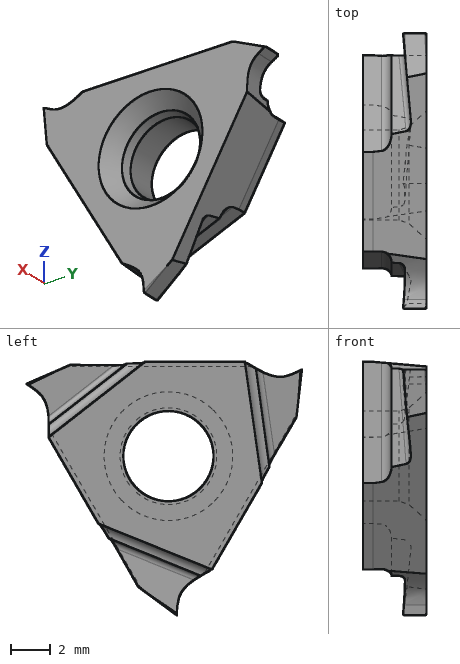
import cadquery as cq
import math

TOOTH_COUNT = 3
THICKNESS = 3.18
INSCRIBED_RADIUS = 4.724
RIM_WIDTH = 0.5
SIDE_CLEARANCE = 5.0

HOLE_RADIUS = 2.25
HOLE_STRAIGHT_DEPTH = 1.8
INNER_CONE_DEPTH = 2.3
INNER_CONE_RADIUS = 2.42
HOLE_MOUTH_RADIUS = 3.22

TIP_RADIUS = 7.967
TIP_ANGLE = -93.0
FLANK_ANGLE = 36.5
LAND_ANGLE = 94.5
LAND_LENGTH = 0.51
CHIP_RADIUS = 1.55
CHIP_RUNOUT = 1.5
CHIP_EXIT_ANGLE = 150.0

RELIEF_ANGLE = 22.0
FIRST_STEP_OFFSET = 4.44
FIRST_STEP_DEPTH = 1.43
FIRST_STEP_FILLET = 0.5
SECOND_STEP_FILLET = 0.29
TOOTH_SIDE_DEPTH = 2.0
SIDE_TILT_ALONG = 4.2
SIDE_TILT_ACROSS = 3.0
TIP_CORNER_RADIUS = 0.1
CORNER_FADE_LENGTH = 1.8
FADED_RADIUS = 0.004

MARGIN = 1.0
REACH = 12.0


def direction(angle):
    return math.cos(math.radians(angle)), math.sin(math.radians(angle))


def moved(point, angle, distance):
    y, z = direction(angle)
    return point[0] + distance * y, point[1] + distance * z


def dot(a, b):
    return a[0] * b[0] + a[1] * b[1]


TIP = moved((0, 0), TIP_ANGLE, TIP_RADIUS)
SLOPE_ALONG = math.tan(math.radians(SIDE_TILT_ALONG))
SLOPE_ACROSS = math.tan(math.radians(SIDE_TILT_ACROSS))


def triangle(x, inscribed_radius):
    """Triangle of the three plate sides, pointing down, on the plane at X = x."""
    corners = [moved((0, 0), -90 + i * 120, 2 * inscribed_radius) for i in range(3)]
    return cq.Workplane("YZ", origin=(x, 0, 0)).polyline(corners).close()


def make_plate():
    taper_depth = THICKNESS - RIM_WIDTH
    rim = triangle(0, INSCRIBED_RADIUS).extrude(RIM_WIDTH)
    tapered = triangle(RIM_WIDTH, INSCRIBED_RADIUS).extrude(taper_depth, taper=SIDE_CLEARANCE)
    return rim.union(tapered)


def make_hole():
    section = [
        (0, 0),
        (0, HOLE_RADIUS),
        (HOLE_STRAIGHT_DEPTH, HOLE_RADIUS),
        (INNER_CONE_DEPTH, INNER_CONE_RADIUS),
        (THICKNESS, HOLE_MOUTH_RADIUS),
        (THICKNESS, 0),
    ]
    return cq.Workplane("XY").polyline(section).close().revolve(360, (0, 0), (1, 0))


def make_tip_cutter():
    """Everything outside the flank, the rake land and the chip groove of the lower tooth."""
    flank_end = moved(TIP, FLANK_ANGLE, REACH)
    land_end = moved(TIP, LAND_ANGLE, LAND_LENGTH)
    centre = moved(land_end, LAND_ANGLE + 90, CHIP_RADIUS)
    bend_middle = moved(centre, (LAND_ANGLE + CHIP_EXIT_ANGLE) / 2 - 90, CHIP_RADIUS)
    bend_end = moved(centre, CHIP_EXIT_ANGLE - 90, CHIP_RADIUS)
    groove_exit = moved(bend_end, CHIP_EXIT_ANGLE, CHIP_RUNOUT)
    tangents = [direction(LAND_ANGLE), direction(CHIP_EXIT_ANGLE)]
    return (
        cq.Workplane("YZ", origin=(-MARGIN, 0, 0))
        .moveTo(*TIP)
        .lineTo(*land_end)
        .spline([bend_middle, bend_end, groove_exit], tangents=tangents, includeCurrent=True)
        .lineTo(*moved(groove_exit, -90, REACH))
        .lineTo(*moved(flank_end, -90, REACH))
        .lineTo(*flank_end)
        .close()
        .extrude(THICKNESS + 2 * MARGIN)
    )


def step_cutter(plane, wall, floor, fillet):
    """Step along the plane normal; local x is the distance outwards, local y the depth."""
    diagonal = fillet * (1 - math.sqrt(0.5))
    return (
        cq.Workplane(plane)
        .moveTo(wall, -REACH)
        .lineTo(wall, floor - fillet)
        .threePointArc((wall + diagonal, floor - diagonal), (wall + fillet, floor))
        .lineTo(wall + REACH, floor)
        .lineTo(wall + REACH, -REACH)
        .close()
        .extrude(REACH, both=True)
    )


def make_relief_cutter():
    along = cq.Vector(0, *direction(RELIEF_ANGLE))
    outward = cq.Vector(0, *direction(RELIEF_ANGLE - 90))
    first_plane = cq.Plane((0, 0, 0), outward, -along)
    first = step_cutter(first_plane, FIRST_STEP_OFFSET, FIRST_STEP_DEPTH, FIRST_STEP_FILLET)

    side_along = cq.Vector(SLOPE_ALONG, 0, 0) + along
    side_outward = cq.Vector(-SLOPE_ACROSS, 0, 0) + outward
    side_normal = side_outward.cross(side_along)
    cutting_edge = cq.Vector(TOOTH_SIDE_DEPTH, *TIP)
    second_plane = cq.Plane(cutting_edge, side_normal.cross(-side_along), -side_along)
    ridge_offset = FIRST_STEP_OFFSET + FIRST_STEP_FILLET
    ridge = outward * ridge_offset + along * along.dot(cutting_edge) + cq.Vector(FIRST_STEP_DEPTH, 0, 0)
    second_wall = second_plane.toLocalCoords(ridge).x
    second = step_cutter(second_plane, second_wall, 0, SECOND_STEP_FILLET)
    return first.union(second)


def side_depth(point):
    """X of the tooth side face at a point of the YZ plane."""
    offset = (point[0] - TIP[0], point[1] - TIP[1])
    fall_along = dot(offset, direction(RELIEF_ANGLE)) * SLOPE_ALONG
    fall_across = dot(offset, direction(RELIEF_ANGLE + 90)) * SLOPE_ACROSS
    return TOOTH_SIDE_DEPTH + fall_along + fall_across


def corner_section(point, x, inward, radius):
    """Section to remove at a tooth corner; inward is the X sense pointing into the tooth."""
    flank = direction(FLANK_ANGLE)
    outward = direction(FLANK_ANGLE - 90)
    plane = cq.Plane((x, *point), (0, *outward), (0, *flank))
    depth = inward * plane.yDir.x
    diagonal = radius * (1 - math.sqrt(0.5))
    margin = TIP_CORNER_RADIUS
    return (
        cq.Workplane(plane)
        .moveTo(-radius, 0)
        .threePointArc((-diagonal, depth * diagonal), (0, depth * radius))
        .lineTo(margin, depth * radius)
        .lineTo(margin, -depth * margin)
        .lineTo(-radius, -depth * margin)
        .close()
        .wires()
        .val()
    )


def make_corner_cutter(depth_at, inward):
    start = moved(TIP, FLANK_ANGLE, -TIP_CORNER_RADIUS)
    end = moved(TIP, FLANK_ANGLE, CORNER_FADE_LENGTH)
    sections = [
        corner_section(start, depth_at(start), inward, TIP_CORNER_RADIUS),
        corner_section(end, depth_at(end), inward, FADED_RADIUS),
    ]
    return cq.Workplane(cq.Solid.makeLoft(sections, True))


tooth_cutters = [
    make_tip_cutter(),
    make_relief_cutter(),
    make_corner_cutter(side_depth, 1),
    make_corner_cutter(lambda point: THICKNESS, -1),
]

result = make_plate().cut(make_hole())
for i in range(TOOTH_COUNT):
    for cutter in tooth_cutters:
        result = result.cut(cutter.rotate((0, 0, 0), (1, 0, 0), i * 360 / TOOTH_COUNT))